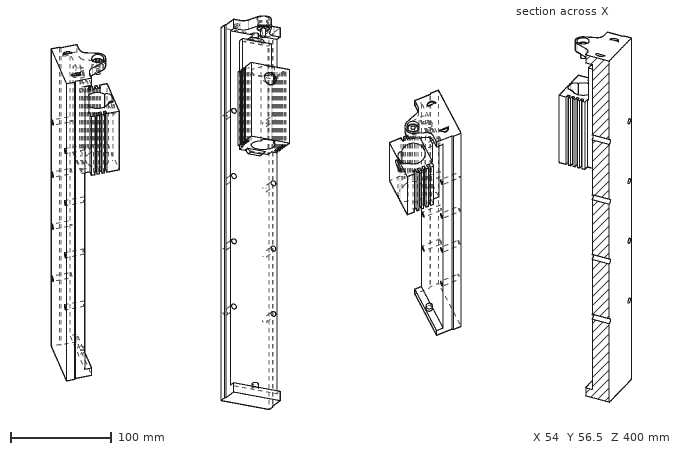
import cadquery as cq
import math

length = 400.0
foot_half_width = 27.0
body_half_width = 26.0
bevel_start = 8.5
bevel_end = 9.7
rail_top = 19.3
block_top = 26.5
block_thickness = 10.0

mount_hole_diameter = 5.2
mount_hole_x = 22.0
mount_hole_first_z = 95.0
mount_hole_pitch = 70.0
mount_hole_rows = 4

bumper_diameter = 6.5
bumper_length = 5.0
bumper_y = rail_top + bumper_diameter / 2

recess_radius = 5.0
recess_centre_x = 13.6
recess_centre_y = 13.3
recess_flat_x = 15.0
recess_depth = 2.0

lug_centre_y = 40.4
lug_radius = 8.0
lug_flank_angle = 20.0
lug_root_radius = 7.4
counterbore_diameter = 12.0
counterbore_depth = 5.5
collar_diameter = 12.0
collar_thickness = 1.0
head_diameter = 10.5
head_tip_diameter = 4.13
head_rim_height = 1.0
head_cone_height = 2.0
screw_diameter = 5.0
screw_end_z = 380.7

slide_half_width = 16.0
slide_bottom_z = 264.7
slide_top_z = 381.0
cap_half_width = 10.0
cap_height = 3.5
cap_edge_gap = 1.0

block_half_width = 21.4
block_bottom_y = 27.5
block_outer_y = 56.5
block_length = 79.0

bore_radius = 11.8
bore_centre_y = 40.0
notch_half_width = 7.2
notch_outer_y = 55.5
notch_corner_radius = 5.0
window_diameter = 13.0
window_from_top = 13.5

groove_width = 2.5
groove_pitch = 2 * groove_width
groove_depth = 4.0
groove_first_y = 31.0
grooves_left = 4
grooves_right = 3


def plan(z):
    """Sketch plane parallel to XY at height z."""
    return cq.Workplane("XY", origin=(0, 0, z))


def box(x0, x1, y0, y1, z0, z1):
    return cq.Workplane("XY").box(x1 - x0, y1 - y0, z1 - z0, centered=False).translate((x0, y0, z0))


def cylinder(x, y, z, diameter, height):
    return plan(z).center(x, y).circle(diameter / 2).extrude(height)


def rail_section(z, top_y, height):
    """Base section with a wider foot, extruded along Z."""
    outline = [
        (-foot_half_width, 0),
        (foot_half_width, 0),
        (foot_half_width, bevel_start),
        (body_half_width, bevel_end),
        (body_half_width, top_y),
        (-body_half_width, top_y),
        (-body_half_width, bevel_end),
        (-foot_half_width, bevel_start),
    ]
    return plan(z).polyline(outline).close().extrude(height)


def lug():
    """Round-nosed lug whose straight flanks flow into the block through concave arcs."""
    angle = math.radians(lug_flank_angle)
    nose_x = lug_radius * math.cos(angle)
    nose_y = lug_centre_y + lug_radius * math.sin(angle)
    root_centre_y = block_top + lug_root_radius
    root_y = root_centre_y - lug_root_radius * math.sin(angle)
    root_x = nose_x + (nose_y - root_y) * math.tan(angle)
    root_centre_x = root_x + lug_root_radius * math.cos(angle)
    middle_angle = (angle + math.pi / 2) / 2
    middle_x = root_centre_x - lug_root_radius * math.cos(middle_angle)
    middle_y = root_centre_y - lug_root_radius * math.sin(middle_angle)
    return (
        plan(length - block_thickness)
        .moveTo(-root_centre_x, block_top)
        .threePointArc((-middle_x, middle_y), (-root_x, root_y))
        .lineTo(-nose_x, nose_y)
        .threePointArc((0, lug_centre_y + lug_radius), (nose_x, nose_y))
        .lineTo(root_x, root_y)
        .threePointArc((middle_x, middle_y), (root_centre_x, block_top))
        .lineTo(root_centre_x, rail_top)
        .lineTo(-root_centre_x, rail_top)
        .close()
        .extrude(block_thickness)
    )


def stop_screw():
    """Revolved collar, plain shank and conical head, fused into the lug."""
    head_bottom = length - counterbore_depth
    head_rim = head_bottom + head_rim_height
    collar_bottom = length - block_thickness - collar_thickness
    half_profile = [
        (0, screw_end_z),
        (screw_diameter / 2, screw_end_z),
        (screw_diameter / 2, collar_bottom),
        (collar_diameter / 2, collar_bottom),
        (collar_diameter / 2, collar_bottom + collar_thickness),
        (head_diameter / 2, collar_bottom + collar_thickness),
        (head_diameter / 2, head_rim),
        (head_tip_diameter / 2, head_rim + head_cone_height),
        (0, head_rim + head_cone_height),
    ]
    screw = cq.Workplane("XZ").polyline(half_profile).close().revolve(360, (0, 0), (0, 1))
    return screw.translate((0, lug_centre_y, 0))


def end_recess(side):
    """Circular segment outside a flat, on the side given by the sign."""
    floor_z = length - recess_depth
    disc = cylinder(side * recess_centre_x, recess_centre_y, floor_z, 2 * recess_radius, recess_depth)
    inner = box(-recess_flat_x, recess_flat_x, 0, rail_top, floor_z, length)
    return disc.cut(inner)


def make_rail():
    rail = rail_section(0, rail_top, length)
    rail = rail.union(rail_section(0, block_top, block_thickness))
    rail = rail.union(rail_section(length - block_thickness, block_top, block_thickness))
    rail = rail.union(lug())
    counterbore_z = length - counterbore_depth
    rail = rail.cut(cylinder(0, lug_centre_y, counterbore_z, counterbore_diameter, counterbore_depth))
    rail = rail.union(stop_screw())

    for z in (block_thickness, length - block_thickness - bumper_length):
        rail = rail.union(cylinder(0, bumper_y, z, bumper_diameter, bumper_length))

    for side in (-1, 1):
        rail = rail.cut(end_recess(side))
        for row in range(mount_hole_rows):
            z = mount_hole_first_z + row * mount_hole_pitch
            hole = cq.Workplane("XZ").center(side * mount_hole_x, z).circle(mount_hole_diameter / 2)
            rail = rail.cut(hole.extrude(-rail_top))
    return rail


def slide():
    """Flat bar with a bevelled cap at each end."""
    bar = box(-slide_half_width, slide_half_width, rail_top, block_top, slide_bottom_z, slide_top_z)
    cap_tip_half_width = cap_half_width - cap_height
    outline = [
        (-cap_tip_half_width, slide_bottom_z - cap_height),
        (cap_tip_half_width, slide_bottom_z - cap_height),
        (cap_half_width, slide_bottom_z),
        (cap_half_width, slide_top_z),
        (cap_tip_half_width, slide_top_z + cap_height),
        (-cap_tip_half_width, slide_top_z + cap_height),
        (-cap_half_width, slide_top_z),
        (-cap_half_width, slide_bottom_z),
    ]
    cap_start_y = rail_top + cap_edge_gap
    cap_depth = block_top - rail_top - 2 * cap_edge_gap
    caps = cq.Workplane("XZ", origin=(0, cap_start_y, 0)).polyline(outline).close().extrude(-cap_depth)
    return bar.union(caps)


def make_carriage():
    block_top_z = slide_bottom_z + block_length
    carriage = box(
        -block_half_width, block_half_width, block_bottom_y, block_outer_y, slide_bottom_z, block_top_z
    )

    carriage = carriage.cut(cylinder(0, bore_centre_y, slide_bottom_z, 2 * bore_radius, block_length))
    notch = box(
        -notch_half_width, notch_half_width, bore_centre_y, notch_outer_y, slide_bottom_z, block_top_z
    )
    carriage = carriage.cut(notch.edges("|Z and >Y").fillet(notch_corner_radius))

    window = cq.Workplane("XZ", origin=(0, bore_centre_y, 0)).center(0, block_top_z - window_from_top)
    carriage = carriage.cut(window.circle(window_diameter / 2).extrude(bore_centre_y - block_outer_y))

    for side, count in ((-1, grooves_left), (1, grooves_right)):
        outer_x = side * block_half_width
        inner_x = side * (block_half_width - groove_depth)
        for number in range(count):
            y = groove_first_y + number * groove_pitch
            groove = box(
                min(outer_x, inner_x), max(outer_x, inner_x), y, y + groove_width, slide_bottom_z, block_top_z
            )
            carriage = carriage.cut(groove)

    pedestal = box(
        -slide_half_width, slide_half_width, block_top, block_bottom_y, slide_bottom_z, block_top_z
    )
    return carriage.union(pedestal).union(slide())


rail = make_rail()
carriage = make_carriage()
result = cq.Compound.makeCompound([rail.val(), carriage.val()])